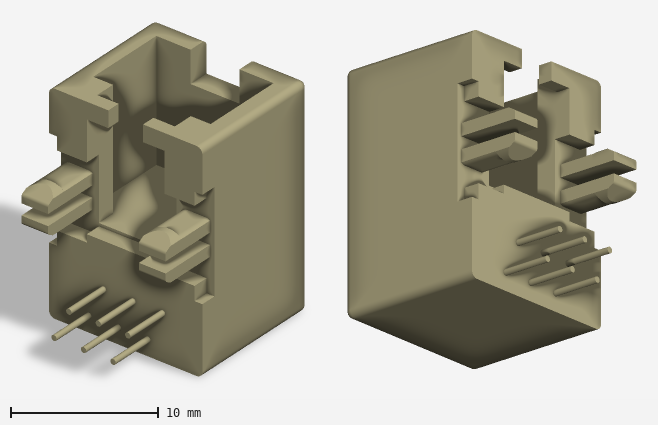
import cadquery as cq


width = 13.2
depth = 11.5
height = 18.1
edge_radius = 0.5

floor_z = 7.95
cavity_width = 10.1
cavity_front_y = 2.86
cavity_back_y = 9.75
channel_width = 6.7
lip_thickness = 1.12
lip_height = 1.4
lip_gap_width = 3.0
back_notch_width = 4.2
back_notch_depth = 2.7

relief_depth = 1.32
relief_bottom_z = 7.02
relief_top_z = 13.32
relief_width = 11.85
corner_relief_bottom_z = 5.83
corner_relief_top_z = 14.43
ledge_z = 7.68

peg_x = 5.06
peg_z = 10.22
peg_width = 2.3
barb_radius = 1.84
shank_flat_width = 1.54
shank_edge_radius = 0.65
peg_flat_height = 1.55
peg_slot = 0.96
peg_tip_y = -3.52
barb_start_y = -1.76
ramp_start_y = -2.3
ramp_end_height = 1.14
tip_radius = 0.25

pin_diameter = 0.46
pin_length = 3.8
pin_rows = 2
pins_per_row = 3
pin_pitch = 2.54
lower_row_z = 1.34
row_spacing = 2.54
row_shift = pin_pitch / 2


def block(size_x, y_range, z_range):
    """Box centred on X = 0 and spanning the given Y and Z ranges."""
    y_start, y_end = y_range
    z_start, z_end = z_range
    box = cq.Workplane("XY").box(size_x, y_end - y_start, z_end - z_start, centered=(True, False, False))
    return box.translate((0, y_start, z_start))


def housing_shell():
    """Solid housing, square on the board side and rounded along its other edges."""
    shell = block(width, (0, depth), (0, height))
    shell = shell.edges("|Y").fillet(edge_radius)
    return shell.faces(">Y").edges().fillet(edge_radius)


def cut_cavity(body):
    """Plug cavity with its latch channel, latch window, lip gap and back notch."""
    lip_z = height - lip_height
    body = body.cut(block(cavity_width, (cavity_front_y, cavity_back_y), (floor_z, height)))
    body = body.cut(block(channel_width, (lip_thickness, cavity_front_y), (floor_z, height)))
    body = body.cut(block(channel_width, (0, lip_thickness), (floor_z, lip_z)))
    body = body.cut(block(lip_gap_width, (0, lip_thickness), (lip_z, height)))
    return body.cut(block(back_notch_width, (cavity_back_y, depth), (height - back_notch_depth, height)))


def cut_board_relief(body):
    """Stepped relief across the board-side face, taller at both outer sides."""
    relief_y = (0, relief_depth)
    corner_z = (corner_relief_bottom_z, corner_relief_top_z)
    corners = block(width, relief_y, corner_z).cut(block(relief_width, relief_y, corner_z))
    middle = block(relief_width, relief_y, (relief_bottom_z, relief_top_z))
    below_ledge = block(channel_width, relief_y, (relief_bottom_z, ledge_z))
    return body.cut(corners).cut(middle.cut(below_ledge))


def peg():
    """Peg on the Y axis: flat-topped shank and round barb with a ramped tip, trimmed flat and split."""
    length_y = (peg_tip_y, relief_depth)
    full_z = (-barb_radius, barb_radius)
    flat_z = (-peg_flat_height, peg_flat_height)
    shank = block(shank_flat_width + 2 * shank_edge_radius, (barb_start_y, relief_depth), flat_z)
    shank = shank.edges("|Y").fillet(shank_edge_radius)
    barb = cq.Workplane("XZ", origin=(0, barb_start_y, 0)).circle(barb_radius)
    barb = barb.extrude(barb_start_y - peg_tip_y)

    outline = (
        cq.Workplane("YZ")
        .moveTo(barb_start_y, -barb_radius)
        .lineTo(barb_start_y, barb_radius)
        .lineTo(ramp_start_y, barb_radius)
        .lineTo(peg_tip_y, ramp_end_height)
        .lineTo(peg_tip_y, -ramp_end_height)
        .lineTo(ramp_start_y, -barb_radius)
        .close()
        .extrude(peg_width / 2, both=True)
    )
    outline = outline.faces("<Y").edges("|X").fillet(tip_radius)
    slot = block(peg_width, length_y, (-peg_slot / 2, peg_slot / 2))
    envelope = block(peg_width, length_y, full_z)
    return shank.union(barb.intersect(outline)).intersect(envelope).cut(slot)


def add_pegs(body):
    """One snap-in peg standing on the relief at each side."""
    for side in (-1, 1):
        body = body.union(peg().translate((side * peg_x, 0, peg_z)))
    return body


def add_pins(body):
    """Two staggered rows of round contact pins."""
    for row in range(pin_rows):
        row_center_x = (row - (pin_rows - 1) / 2) * row_shift
        pin_z = lower_row_z + row * row_spacing
        for column in range(pins_per_row):
            pin_x = row_center_x + (column - (pins_per_row - 1) / 2) * pin_pitch
            pin = cq.Workplane("XZ", origin=(pin_x, 0, pin_z)).circle(pin_diameter / 2).extrude(pin_length)
            body = body.union(pin)
    return body


housing = cut_board_relief(cut_cavity(housing_shell()))
result = add_pins(add_pegs(housing))